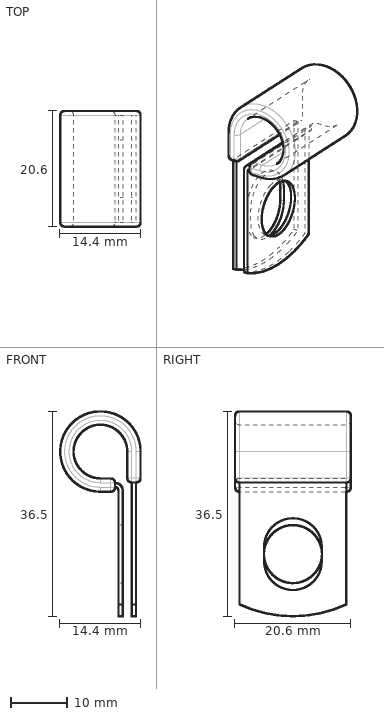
import cadquery as cq
import math

overall_height = 36.5
loop_diameter = 14.35
cushion_length = 20.62
strap_thickness = 0.8
cushion_cover = 0.8
upright_length = 5.5
foot_length = 2.63
bend_inner_radius = 0.55
hole_diameter = 10.3
hole_depth_below_axis = 18.25
slot_straight = 2.5
tip_sagitta = 2.1

loop_radius = loop_diameter / 2
middle_radius = loop_radius - cushion_cover - strap_thickness / 2
strap_width = cushion_length - 2 * cushion_cover
leg_bottom = loop_radius - overall_height
half_width = strap_width / 2
tip_radius = (half_width**2 + tip_sagitta**2) / (2 * tip_sagitta)


def loop_band(thickness, width):
    """Band along the three-quarter loop and its two straight ends."""
    inner = middle_radius - thickness / 2
    outer = middle_radius + thickness / 2
    diagonal = math.sqrt(0.5)
    return (
        cq.Workplane("XZ")
        .moveTo(outer, -upright_length)
        .lineTo(outer, 0)
        .threePointArc((-outer * diagonal, outer * diagonal), (0, -outer))
        .lineTo(foot_length, -outer)
        .lineTo(foot_length, -inner)
        .lineTo(0, -inner)
        .threePointArc((-inner * diagonal, inner * diagonal), (inner, 0))
        .lineTo(inner, -upright_length)
        .close()
        .extrude(width / 2, both=True)
    )


def make_cushion():
    band = loop_band(strap_thickness + 2 * cushion_cover, cushion_length)
    upright_end = cq.selectors.NearestToPointSelector((middle_radius, 0, -upright_length))
    foot_end = cq.selectors.NearestToPointSelector((foot_length, 0, -middle_radius))
    side_edges = band.faces("<Y or >Y").edges()
    end_edges = band.faces(upright_end).edges().add(band.faces(foot_end).edges())
    return side_edges.add(end_edges).fillet(cushion_cover)


def make_legs():
    """Two flat legs, the -X one joined to the loop bottom by a bend."""
    inner = middle_radius - strap_thickness / 2
    bend_outer_radius = bend_inner_radius + strap_thickness
    bend_end = -inner - bend_outer_radius
    near_leg_outer = foot_length + bend_outer_radius
    near_leg_inner = foot_length + bend_inner_radius
    near_leg = (
        cq.Workplane("XZ")
        .moveTo(0, -inner)
        .lineTo(foot_length, -inner)
        .radiusArc((near_leg_outer, bend_end), bend_outer_radius)
        .lineTo(near_leg_outer, leg_bottom)
        .lineTo(near_leg_inner, leg_bottom)
        .lineTo(near_leg_inner, bend_end)
        .radiusArc((foot_length, -inner - strap_thickness), -bend_inner_radius)
        .lineTo(0, -inner - strap_thickness)
        .close()
        .extrude(half_width, both=True)
    )
    far_leg = (
        cq.Workplane("XZ")
        .moveTo(inner, 0)
        .lineTo(inner + strap_thickness, 0)
        .lineTo(inner + strap_thickness, leg_bottom)
        .lineTo(inner, leg_bottom)
        .close()
        .extrude(half_width, both=True)
    )
    leg_face = (
        cq.Workplane("YZ")
        .moveTo(-half_width, 0)
        .lineTo(-half_width, leg_bottom + tip_sagitta)
        .radiusArc((half_width, leg_bottom + tip_sagitta), -tip_radius)
        .lineTo(half_width, 0)
        .close()
        .extrude(loop_radius)
    )
    hole_plane = cq.Workplane("YZ").center(0, -hole_depth_below_axis)
    hole = hole_plane.circle(hole_diameter / 2).extrude(loop_radius)
    slot = hole_plane.slot2D(slot_straight + hole_diameter, hole_diameter, 90).extrude(loop_radius)
    return near_leg.cut(hole).union(far_leg.cut(slot)).intersect(leg_face)


result = make_cushion().union(make_legs())